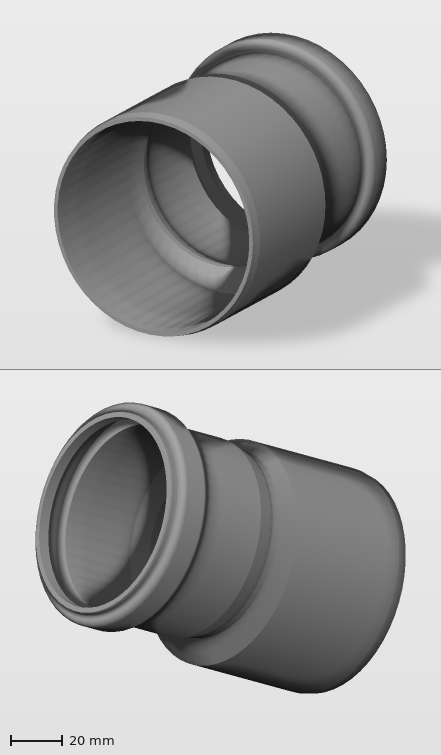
import cadquery as cq

LENGTH = 123.5

SPIGOT_OUTER = 90.2
SPIGOT_TIP = 88.4
SPIGOT_BORE = 85.2
NECK_OUTER = 76.0
NECK_BORE = 71.0
SOCKET_OUTER = 80.0
SOCKET_BORE = 75.8
LIP_OUTER = 80.3
BEAD_OUTER = 89.4
GROOVE_BORE = 85.3

TIP_END = 4.1
SPIGOT_END = 56.6
NECK_START = 66.3
NECK_END = 69.2
SOCKET_START = 76.8
BEAD_START = 108.0
BEAD_END = 120.8

BEAD_ROUND = 2.2
ROOT_ROUND = 0.7
LIP_CHAMFER_LENGTH = 0.6
LIP_CHAMFER_DEPTH = 0.2
GROOVE_WALL = (BEAD_OUTER - GROOVE_BORE) / 2

SOCKET_AXIS_X = -(SPIGOT_OUTER - NECK_OUTER) / 2


def revolve_profile(points, axis_x):
    """Turn (radius, Y) points, closed along the axis, about a line parallel to Y."""
    start = (0, points[0][1])
    end = (0, points[-1][1])
    profile = cq.Workplane("XY").polyline([start] + points + [end]).close()
    return profile.revolve(360, (0, 0, 0), (0, 1, 0)).translate((axis_x, 0, 0))


def eccentric_cone(spigot_diameter, neck_diameter):
    """Ruled transition from the spigot circle to the offset neck circle."""
    along_y = cq.Vector(0, 1, 0)
    wide = cq.Wire.makeCircle(spigot_diameter / 2, cq.Vector(0, SPIGOT_END, 0), along_y)
    narrow_center = cq.Vector(SOCKET_AXIS_X, NECK_START, 0)
    narrow = cq.Wire.makeCircle(neck_diameter / 2, narrow_center, along_y)
    return cq.Workplane(cq.Solid.makeLoft([wide, narrow], True))


def spigot_body():
    return revolve_profile(
        [(SPIGOT_TIP / 2, 0), (SPIGOT_OUTER / 2, TIP_END), (SPIGOT_OUTER / 2, SPIGOT_END)], 0
    )


def socket_body():
    """Neck, flared socket, rounded bead and end lip as one turned outline."""
    tube = SOCKET_OUTER / 2
    lip = LIP_OUTER / 2
    bead = BEAD_OUTER / 2
    bend = 0.5 ** 0.5
    inset = BEAD_ROUND * (1 - bend)
    root_inset = ROOT_ROUND * (1 - bend)
    profile = (
        cq.Workplane("XY")
        .moveTo(0, NECK_START)
        .lineTo(NECK_OUTER / 2, NECK_START)
        .lineTo(NECK_OUTER / 2, NECK_END)
        .lineTo(tube, SOCKET_START)
        .lineTo(tube, BEAD_START - ROOT_ROUND)
        .threePointArc((tube + root_inset, BEAD_START - root_inset), (tube + ROOT_ROUND, BEAD_START))
        .lineTo(bead - BEAD_ROUND, BEAD_START)
        .threePointArc((bead - inset, BEAD_START + inset), (bead, BEAD_START + BEAD_ROUND))
        .lineTo(bead, BEAD_END - BEAD_ROUND)
        .threePointArc((bead - inset, BEAD_END - inset), (bead - BEAD_ROUND, BEAD_END))
        .lineTo(lip + ROOT_ROUND, BEAD_END)
        .threePointArc((lip + root_inset, BEAD_END + root_inset), (lip, BEAD_END + ROOT_ROUND))
        .lineTo(lip, LENGTH - LIP_CHAMFER_LENGTH)
        .lineTo(lip - LIP_CHAMFER_DEPTH, LENGTH)
        .lineTo(0, LENGTH)
        .close()
    )
    return profile.revolve(360, (0, 0, 0), (0, 1, 0)).translate((SOCKET_AXIS_X, 0, 0))


def spigot_bore():
    return revolve_profile([(SPIGOT_BORE / 2, 0), (SPIGOT_BORE / 2, SPIGOT_END)], 0)


def socket_bore():
    """Neck and socket bore, widened by the seal groove behind the bead."""
    groove_start = BEAD_START + GROOVE_WALL
    groove_end = BEAD_END - GROOVE_WALL
    return revolve_profile(
        [
            (NECK_BORE / 2, NECK_START),
            (NECK_BORE / 2, NECK_END),
            (SOCKET_BORE / 2, SOCKET_START),
            (SOCKET_BORE / 2, groove_start),
            (GROOVE_BORE / 2, groove_start),
            (GROOVE_BORE / 2, groove_end),
            (SOCKET_BORE / 2, groove_end),
            (SOCKET_BORE / 2, LENGTH),
        ],
        SOCKET_AXIS_X,
    )


outer = spigot_body().union(eccentric_cone(SPIGOT_OUTER, NECK_OUTER)).union(socket_body())
cavity = spigot_bore().union(eccentric_cone(SPIGOT_BORE, NECK_BORE)).union(socket_bore())
result = outer.cut(cavity)